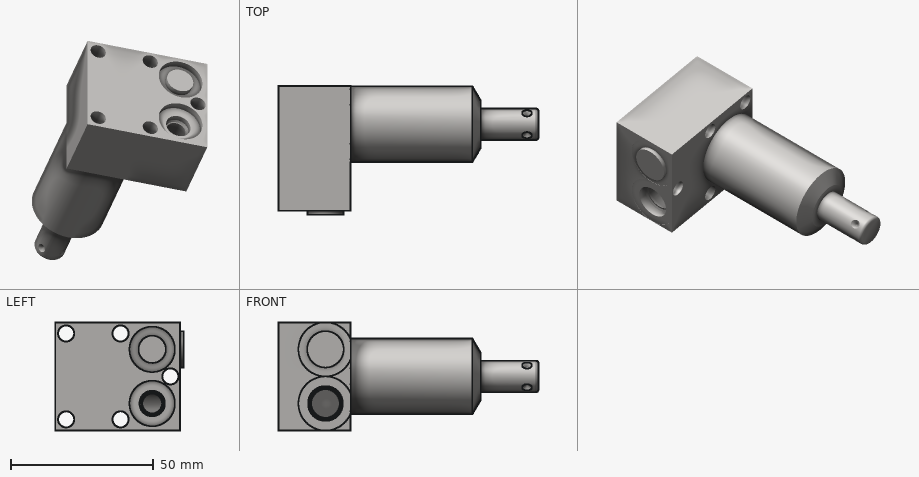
import cadquery as cq

total_length = 91.5

block_length = 25.45
block_width = 43.9
block_height = 38.1
block_back = 13.5
block_front = block_back - block_width

body_radius = 13.4
body_end = 68.2
nose_end = 71.2
nose_radius = 8.2
rod_radius = 5.6
rod_fillet = 1.1
dimple_radius = 1.7
dimple_x = 87.4

mount_diameter = 5.6
mount_spacing_y = 19.1
mount_spacing_z = 30.2
single_mount_y = block_front + 3.4

port_z = block_height / 4
front_port_x = 16.6
front_seat_diameter = block_height / 2
front_seat_depth = 0.1
front_plug_diameter = 12.8
front_plug_height = 1.4
front_bore_diameter = 10.1
front_bore_depth = 14.65
front_bore_mouth = 12.3
front_mouth_depth = 3.7
side_port_y = block_front + 9.8
side_seat_diameter = 16.0
side_seat_depth = 2.75
side_plug_diameter = 9.6
side_plug_height = 2.3
side_bore_diameter = 7.0
side_bore_mouth = 9.0
side_mouth_depth = 2.75
mouth_chamfer = 0.55


def rod_along_x(diameter, start, length, y, z):
    """Solid cylinder parallel to X."""
    return cq.Workplane("YZ", origin=(start, y, z)).circle(diameter / 2).extrude(length)


def rod_along_y(diameter, start, length, x, z):
    """Solid cylinder running toward +Y from its start."""
    return cq.Workplane("XZ", origin=(x, start, z)).circle(diameter / 2).extrude(-length)


def make_block():
    block = cq.Workplane("XY").box(block_length, block_width, block_height)
    block = block.translate((block_length / 2, (block_back + block_front) / 2, 0))
    mount_points = [(single_mount_y, 0)]
    for side_y in (-1, 1):
        for side_z in (-1, 1):
            mount_points.append((side_y * mount_spacing_y / 2, side_z * mount_spacing_z / 2))
    for y, z in mount_points:
        block = block.cut(rod_along_x(mount_diameter, 0, block_length, y, z))
    return block


def make_cylinder_and_rod():
    profile = (
        cq.Workplane("XY")
        .moveTo(block_length, 0)
        .lineTo(block_length, body_radius)
        .lineTo(body_end, body_radius)
        .lineTo(nose_end, nose_radius)
        .lineTo(nose_end, rod_radius)
        .lineTo(total_length, rod_radius)
        .lineTo(total_length, 0)
        .close()
    )
    cylinder = profile.revolve(360, (0, 0, 0), (1, 0, 0))
    cylinder = cylinder.faces(">X").edges().fillet(rod_fillet)
    dimple = cq.Workplane("XY").add(
        cq.Solid.makeCone(
            0,
            2 * dimple_radius,
            2 * dimple_radius,
            pnt=cq.Vector(dimple_x, 0, rod_radius - dimple_radius),
            dir=cq.Vector(0, 0, 1),
        )
    )
    for angle in (45, 135, 225, 315):
        cylinder = cylinder.cut(dimple.rotate((0, 0, 0), (1, 0, 0), angle))
    return cylinder


def add_front_ports(part):
    seat_y = block_front + front_seat_depth
    for z in (-port_z, port_z):
        part = part.cut(rod_along_y(front_seat_diameter, block_front, front_seat_depth, front_port_x, z))
    plug_length = front_plug_height + front_seat_depth
    plug = rod_along_y(front_plug_diameter, block_front - front_plug_height, plug_length, front_port_x, port_z)
    mouth = rod_along_y(front_bore_mouth, seat_y, front_mouth_depth, front_port_x, -port_z)
    mouth = mouth.faces(">Y").chamfer(mouth_chamfer)
    bore = rod_along_y(front_bore_diameter, seat_y, front_bore_depth, front_port_x, -port_z)
    return part.union(plug).cut(mouth).cut(bore)


def add_side_ports(part):
    for z in (-port_z, port_z):
        part = part.cut(rod_along_x(side_seat_diameter, 0, side_seat_depth, side_port_y, z))
    plug_start = side_seat_depth - side_plug_height
    plug = rod_along_x(side_plug_diameter, plug_start, side_plug_height, side_port_y, port_z)
    mouth = rod_along_x(side_bore_mouth, side_seat_depth, side_mouth_depth, side_port_y, -port_z)
    mouth = mouth.faces(">X").chamfer(mouth_chamfer)
    bore_length = front_port_x - side_seat_depth
    bore = rod_along_x(side_bore_diameter, side_seat_depth, bore_length, side_port_y, -port_z)
    return part.union(plug).cut(mouth).cut(bore)


part = make_block().union(make_cylinder_and_rod())
part = add_front_ports(part)
result = add_side_ports(part)